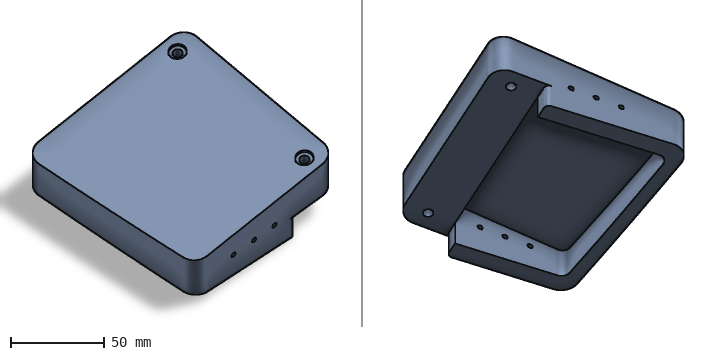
import cadquery as cq
import math

width = 120.0
depth = 116.4
height = 44.6
slope = math.tan(math.radians(5.0))

corner_radius = 10.0
front_left_y = -1.1
front_middle_y = 5.8
front_right_y = 13.5

shelf_length = 30.0
shelf_z = 16.7
side_wall = 10.0
front_wall = 8.0
roof_thickness = 10.0
inner_radius = 5.0
leg_radius = 3.0
leg_rear_y = depth - shelf_length

screw_diameter = 5.5
counterbore_diameter = 10.0
counterbore_depth = 1.5
screw_side_inset = 10.0
screw_rear_inset = 13.9

side_hole_diameter = 3.0
side_hole_pitch = 15.0
side_hole_count = 3
side_hole_z = 21.0

margin = 6.0


def top_z(y):
    """Height of the sloping top face at a given y."""
    return height - slope * (depth - y)


def bottom_z(y):
    """Height of the sloping underside at a given y."""
    return slope * (leg_rear_y - y)


def extrude_across(points, x_start, x_end):
    """Extrude a YZ profile between two x positions."""
    return cq.Workplane("YZ", origin=(x_start, 0, 0)).polyline(points).close().extrude(x_end - x_start)


def front_prism(rear_y, side_inset, front_inset):
    """Full-height prism with a bowed front edge, inset at the sides and front."""
    front_slope = (front_right_y - front_left_y) / width
    side_shift = front_slope * side_inset
    left = (side_inset, front_left_y + front_inset + side_shift)
    middle = (width / 2, front_middle_y + front_inset)
    right = (width - side_inset, front_right_y + front_inset - side_shift)
    return (
        cq.Workplane("XY")
        .moveTo(side_inset, rear_y)
        .lineTo(*left)
        .threePointArc(middle, right)
        .lineTo(width - side_inset, rear_y)
        .close()
        .extrude(height)
    )


def make_body():
    """Rounded wedge, stepped up at the rear to leave the shelf."""
    plan = front_prism(depth, 0, 0).edges("|Z").fillet(corner_radius)
    front_y = -margin
    rear_y = depth + margin
    profile = [
        (front_y, bottom_z(front_y)),
        (leg_rear_y, 0),
        (leg_rear_y, shelf_z),
        (rear_y, shelf_z),
        (rear_y, top_z(rear_y)),
        (front_y, top_z(front_y)),
    ]
    body = plan.intersect(extrude_across(profile, 0, width))
    leg_middle = (leg_rear_y, shelf_z / 2)
    for x in (0, width):
        edge = cq.selectors.NearestToPointSelector((x, *leg_middle))
        body = body.edges(edge).fillet(leg_radius)
    return body


def make_cavity():
    """Hollow open below, with a roof parallel to the top and a rear end flush with the shelf step."""
    plan = front_prism(leg_rear_y, side_wall, front_wall)
    plan = plan.edges("|Z and (not >Y)").fillet(inner_radius)
    roof = [
        (0, -margin),
        (depth, -margin),
        (depth, top_z(depth) - roof_thickness),
        (0, top_z(0) - roof_thickness),
    ]
    return plan.intersect(extrude_across(roof, 0, width))


def cut_screw_holes(body):
    """Screw holes with counterbore floors parallel to the sloping top."""
    y = depth - screw_rear_inset
    floor_profile = [
        (0, top_z(0) - counterbore_depth),
        (depth, top_z(depth) - counterbore_depth),
        (depth, height + margin),
        (0, height + margin),
    ]
    above_floor = extrude_across(floor_profile, 0, width)
    for x in (screw_side_inset, width - screw_side_inset):
        axis = cq.Workplane("XY").center(x, y)
        hole = axis.circle(screw_diameter / 2).extrude(height)
        counterbore = axis.circle(counterbore_diameter / 2).extrude(height).intersect(above_floor)
        body = body.cut(hole).cut(counterbore)
    return body


def cut_side_holes(body):
    """Row of cross holes spaced forward from the rear of the legs."""
    centres = [
        (leg_rear_y - side_hole_pitch * (i + 1), side_hole_z)
        for i in range(side_hole_count)
    ]
    holes = cq.Workplane("YZ").pushPoints(centres).circle(side_hole_diameter / 2).extrude(width)
    return body.cut(holes)


result = make_body().cut(make_cavity())
result = cut_screw_holes(result)
result = cut_side_holes(result)